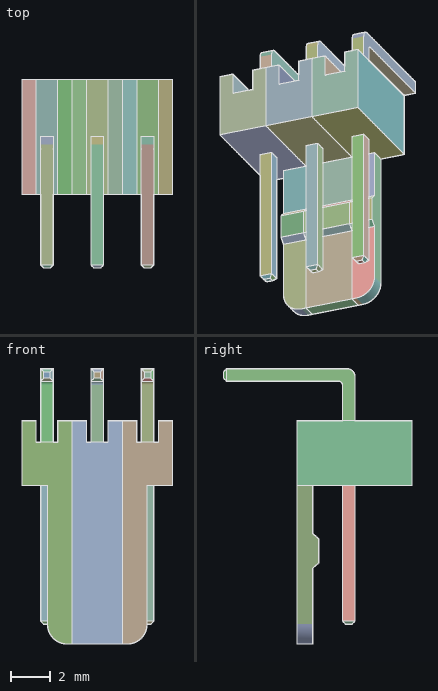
import cadquery as cq


module_count = 3
strip_width = 7.62
pitch = strip_width / module_count
overall_height = 13.9
overall_depth = 9.52

block_depth = 5.81
block_height = 3.28
block_bottom = 7.99
channel_width = 1.08
channel_depth = 1.08

tab_width = 5.03
tab_thickness = 0.8
tab_corner_radius = 1.0

ridge_depth = 0.3
ridge_slope_height = 0.26
ridge_height = 1.74
ridge_drop = 2.42
ridge_top = block_bottom - ridge_drop
ridge_bottom = ridge_top - ridge_height

pin_size = 0.64
pin_axis_y = 2.61
pin_bottom = 1.0
pin_front = block_depth - overall_depth
pin_tip_chamfer = pin_size / 4
bend_outer_radius = 0.4
bend_inner_radius = 0.2


def make_block():
    """Housing block one pitch wide, centred on X = 0, with its channel cut through along Y."""
    block = cq.Workplane("XY").box(pitch, block_depth, block_height, centered=(True, False, False))
    channel = (
        cq.Workplane("XY")
        .box(channel_width, block_depth, channel_depth, centered=(True, False, False))
        .translate((0, 0, block_height - channel_depth))
    )
    return block.cut(channel).translate((0, 0, block_bottom))


def make_tab(left, right):
    """Tab slice with its latch ridge, between two X positions."""
    ridge_back = tab_thickness + ridge_depth
    profile = [
        (0, 0),
        (tab_thickness, 0),
        (tab_thickness, ridge_bottom),
        (ridge_back, ridge_bottom + ridge_slope_height),
        (ridge_back, ridge_top - ridge_slope_height),
        (tab_thickness, ridge_top),
        (tab_thickness, block_bottom),
        (0, block_bottom),
    ]
    tab = cq.Workplane("YZ").polyline(profile).close().extrude(right - left)
    return tab.translate((left, 0, 0))


def make_pin():
    """L-shaped pin centred on X = 0, with rounded bend and tapered tips."""
    pin_y_front = pin_axis_y - pin_size / 2
    pin_y_back = pin_axis_y + pin_size / 2
    arm_bottom = overall_height - pin_size
    profile = [
        (pin_y_front, pin_bottom),
        (pin_y_back, pin_bottom),
        (pin_y_back, overall_height),
        (pin_front, overall_height),
        (pin_front, arm_bottom),
        (pin_y_front, arm_bottom),
    ]
    pin = cq.Workplane("YZ").polyline(profile).close().extrude(pin_size / 2, both=True)
    inner_bend = cq.NearestToPointSelector((0, pin_y_front, arm_bottom))
    pin = pin.edges("|X").edges(inner_bend).fillet(bend_inner_radius)
    pin = pin.edges("|X and >Y and >Z").fillet(bend_outer_radius)
    pin = pin.faces("<Z").chamfer(pin_tip_chamfer)
    return pin.faces("<Y").chamfer(pin_tip_chamfer)


def make_middle_module():
    """Middle module: its tab slice is a full pitch wide."""
    tab = make_tab(-pitch / 2, pitch / 2)
    return make_block().union(tab).union(make_pin())


def make_end_module(side):
    """End module on the left (side = -1) or right (side = 1), with the tab's rounded corner."""
    module_x = side * pitch
    inner_edge = side * pitch / 2
    outer_edge = side * tab_width / 2
    tab = make_tab(min(inner_edge, outer_edge), max(inner_edge, outer_edge))
    outer_corner = cq.NearestToPointSelector((outer_edge, tab_thickness / 2, 0))
    tab = tab.edges("|Y").edges(outer_corner).fillet(tab_corner_radius)
    block_and_pin = make_block().union(make_pin()).translate((module_x, 0, 0))
    return block_and_pin.union(tab)


middle_module = make_middle_module()
end_modules = [make_end_module(side) for side in (-1, 1)]

result = cq.Compound.makeCompound([middle_module.val(), *[module.val() for module in end_modules]])